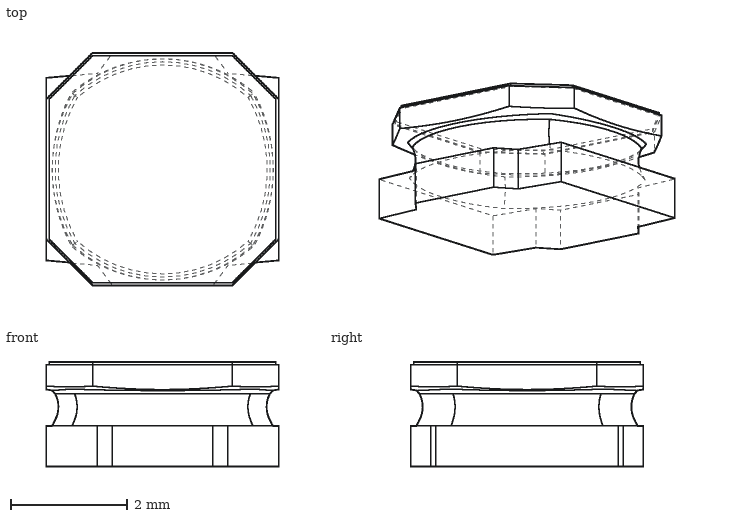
import cadquery as cq
import math

half_width = 2.0
total_height = 1.8

base_height = 0.7
base_corner_y = 1.57
step_inner_x = 1.12
step_inner_y = 1.65
tab_half_width = 0.86

cap_flat_half = 1.2
plate_thickness = 0.05
plate_inset = 0.05
underside_angle = 10.0
underside_z = 1.305
underside_flat_radius = 1.9

winding_base_reach = 1.9
winding_rim_reach = 1.85
winding_waist_reach = 1.795
lower_rim_z = 0.8
upper_rim_z = 1.25
winding_top_reach = 1.95
winding_top_z = 1.36
x_side_radius = 2.6
y_side_radius = 2.31

plate_z = total_height - plate_thickness


def octagon(half, flat_half):
    """Outline of a square of the given half width with equal corner cuts."""
    return cq.Workplane("XY").polyline([
        (half, flat_half), (flat_half, half), (-flat_half, half), (-half, flat_half),
        (-half, -flat_half), (-flat_half, -half), (flat_half, -half), (half, -flat_half),
    ]).close()


def make_base():
    """Base plate with the same stepped corner at all four places."""
    quarter = [
        (half_width, base_corner_y),
        (step_inner_x, step_inner_y),
        (tab_half_width, half_width),
    ]
    mirrored = [(-x, y) for x, y in reversed(quarter)]
    back_half = quarter + mirrored
    front_half = [(-x, -y) for x, y in back_half]
    return cq.Workplane("XY").polyline(back_half + front_half).close().extrude(base_height)


def make_side_body(radius):
    """Turned body whose +X side is one bulging side of the winding."""
    axis_x = winding_base_reach - radius
    waist_z = (lower_rim_z + upper_rim_z) / 2
    body = (
        cq.Workplane("XZ")
        .moveTo(0, base_height)
        .lineTo(winding_base_reach - axis_x, base_height)
        .lineTo(winding_rim_reach - axis_x, lower_rim_z)
        .threePointArc(
            (winding_waist_reach - axis_x, waist_z),
            (winding_rim_reach - axis_x, upper_rim_z),
        )
        .lineTo(winding_top_reach - axis_x, winding_top_z)
        .lineTo(0, winding_top_z)
        .close()
        .revolve(360, (0, 0), (0, 1))
    )
    return body.translate((axis_x, 0, 0))


def make_winding():
    """Common volume of four turned bodies, one for each side."""
    sides = [
        make_side_body(radius).rotate((0, 0, 0), (0, 0, 1), angle)
        for radius, angle in (
            (x_side_radius, 0), (y_side_radius, 90), (x_side_radius, 180), (y_side_radius, 270),
        )
    ]
    winding = sides[0]
    for side in sides[1:]:
        winding = winding.intersect(side)
    return winding


def make_cap():
    """Octagonal cap with its conical underside and raised top plate."""
    slab = (
        octagon(half_width, cap_flat_half)
        .extrude(plate_z - underside_z)
        .translate((0, 0, underside_z))
    )
    outer_radius = half_width * math.sqrt(2)
    rise = (outer_radius - underside_flat_radius) * math.tan(math.radians(underside_angle))
    flared = (
        cq.Workplane("XZ")
        .polyline([
            (0, underside_z),
            (underside_flat_radius, underside_z),
            (outer_radius, underside_z + rise),
            (outer_radius, plate_z),
            (0, plate_z),
        ])
        .close()
        .revolve(360, (0, 0), (0, 1))
    )
    plate = (
        octagon(half_width - plate_inset, cap_flat_half)
        .extrude(plate_thickness)
        .translate((0, 0, plate_z))
    )
    return slab.intersect(flared).union(plate)


result = make_base().union(make_winding()).union(make_cap())